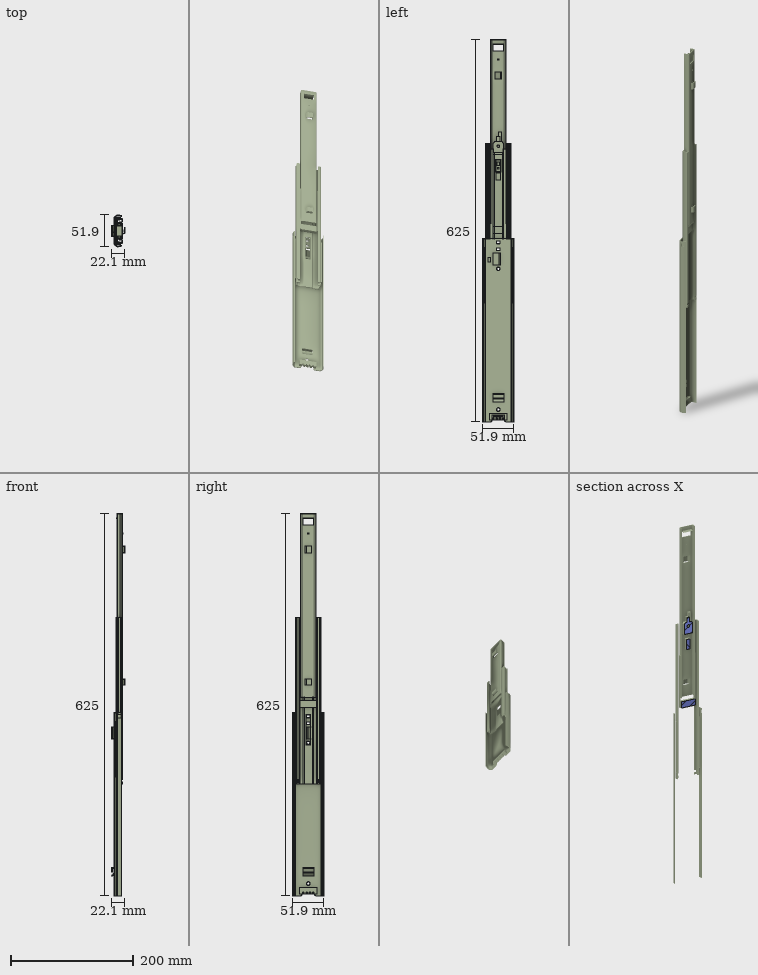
import cadquery as cq
import math


sheet = 1.2
rail_length = 300.0
total_height = 625.0
overall_depth = 22.14
hook_reach = 4.2
hook_slope_run = 2.4

outer_half = 51.89 / 2
outer_depth = 12.5
bevel_run = 4.2
bevel_rise = 3.6
flange_flare = 0.6
flange_bend_x = 5.6
bevel_shift_ratio = 0.4
curl_sag = 0.35
curl_tip = 1.3

middle_half = 20.5
middle_back = 3.5
middle_front = overall_depth - 2 * hook_reach
middle_bottom = 183.0
middle_top = 455.7

inner_half = 13.0
inner_back = 5.1
inner_front = middle_front
inner_bottom = total_height - rail_length


def box(x0, x1, y0, y1, z0, z1):
    """Block between two opposite corners."""
    return cq.Workplane("XY").box(x1 - x0, y1 - y0, z1 - z0, centered=False).translate((x0, y0, z0))


def centred_box(x0, x1, half_y, z0, z1):
    """Block symmetric about Y = 0."""
    return box(x0, x1, -half_y, half_y, z0, z1)


def cross_cylinder(diameter, z, x0, x1):
    """Cylinder along X at Y = 0."""
    return cq.Workplane("YZ").center(0, z).circle(diameter / 2).extrude(x1 - x0).translate((x0, 0, 0))


def mirrored_extrusion(half, z0, z1):
    """Extrude a closed half section and its mirror image about Y = 0 as one solid."""
    solid = half.close().extrude(z1 - z0).translate((0, 0, z0))
    return solid.union(solid.mirror("XZ"))


def hook(face_x, outward, root_y, free_y, z0, z1):
    """Pressed hook: a sloping leg rising from the web edge at root_y, then a plate parallel to the web.

    outward is +1 or -1 along X, the side of the web that the hook stands on.
    """
    along = 1 if free_y > root_y else -1
    knee_y = root_y + along * hook_slope_run
    inside_x = face_x - outward * sheet
    tip_x = face_x + outward * hook_reach
    plate_x = tip_x - outward * sheet
    profile = [
        (inside_x, root_y),
        (face_x, root_y),
        (tip_x, knee_y),
        (tip_x, free_y),
        (plate_x, free_y),
        (plate_x, knee_y),
    ]
    return cq.Workplane("XY").polyline(profile).close().extrude(z1 - z0).translate((0, 0, z0))


web_hole_slots = (293.7, 282.4)
web_round_holes = (250.5, 20.5)
round_hole_diameter = 5.4
slot_length = 5.2
slot_height = 3.8
bottom_notch_half = 10.3
bottom_notch_height = 11.5
notch_flare = 2.0
side_hook_y = (-3.2, 9.0)
side_hook_z = (257.0, 276.5)
tab_half = 9.0
upper_tab_z = (39.5, 46.5)
lower_tab_z = (33.0, 37.8)
recess_y = 15.0
recess_half_width = 2.0
recess_z = (261.5, 269.0)
recess_depth = 0.5
stop_slot_z = (291.5, 296.5)
stop_slot_depth = 0.6


def outer_skin(offset):
    """Solid bounded by the rail's outside faces moved inward by offset."""
    half = outer_half - offset
    tip = half - curl_tip
    bevel_shift = offset * bevel_shift_ratio
    return mirrored_extrusion(
        cq.Workplane("XY")
        .moveTo(offset, 0)
        .lineTo(offset, half - bevel_run + bevel_shift)
        .lineTo(bevel_rise + bevel_shift, half - flange_flare)
        .lineTo(flange_bend_x, half)
        .threePointArc(
            ((flange_bend_x + outer_depth) / 2, half - curl_sag),
            (outer_depth, tip),
        )
        .lineTo(outer_depth, 0),
        0, rail_length,
    )


def make_outer_rail():
    rail = outer_skin(0).cut(outer_skin(sheet))
    for z in web_hole_slots:
        rail = rail.cut(centred_box(0, sheet, slot_length / 2, z - slot_height / 2, z + slot_height / 2))
    for z in web_round_holes:
        rail = rail.cut(cross_cylinder(round_hole_diameter, z, 0, sheet))

    notch = (
        cq.Workplane("YZ")
        .polyline([
            (-bottom_notch_half - notch_flare, 0),
            (-bottom_notch_half, notch_flare),
            (-bottom_notch_half, bottom_notch_height),
            (bottom_notch_half, bottom_notch_height),
            (bottom_notch_half, notch_flare),
            (bottom_notch_half + notch_flare, 0),
        ])
        .close()
        .extrude(sheet)
    )
    rail = rail.cut(notch)

    rail = rail.cut(box(0, sheet, *side_hook_y, *side_hook_z))
    rail = rail.union(hook(0, -1, *side_hook_y, *side_hook_z))

    free_z, root_z = upper_tab_z
    rail = rail.cut(centred_box(0, sheet, tab_half, free_z, root_z - sheet))
    rail = rail.union(centred_box(-hook_reach, 0, tab_half, root_z - sheet, root_z))
    rail = rail.union(centred_box(-hook_reach, sheet - hook_reach, tab_half, free_z, root_z))

    tip_z, root_z = lower_tab_z
    rail = rail.cut(centred_box(0, sheet, tab_half, tip_z, root_z))
    slope = (
        cq.Workplane("XZ")
        .polyline([(0, root_z), (sheet, root_z), (sheet - hook_reach, tip_z), (-hook_reach, tip_z)])
        .close()
        .extrude(tab_half, both=True)
    )
    rail = rail.union(slope)

    rail = rail.cut(box(0, recess_depth, recess_y - recess_half_width, recess_y + recess_half_width, *recess_z))
    for side in (-1, 1):
        edge = side * outer_half
        root = side * (outer_half - stop_slot_depth)
        rail = rail.cut(box(flange_bend_x, outer_depth, min(edge, root), max(edge, root), *stop_slot_z))
    return rail


channel_half = 6.6
land_inner = 8.4
land_outer = 13.6
step_run = 1.8
channel_depth = 1.2
track_depth = 0.8
middle_bevel_run = 2.8
middle_bevel_rise = 1.3
groove_start = 7.0
groove_end = 10.4
groove_depth = 1.1
lip_bevel = 1.0
lip_half = 15.0
top_notch_half = 13.2
top_notch_depth = 9.4
latch_notch_half = 8.0
latch_notch_depth = 14.7
window_half = 4.2
window_z = (408.6, 429.0)
dent_half = 3.8
dent_z = (395.5, 407.0)
dent_depth = 0.5
access_z = (247.0, 297.0)
access_half = 4.0
lip_notch_z = (186.5, 190.5)


def middle_skin(offset, front):
    """Solid behind the front plane, bounded by the outside faces moved inward by offset."""
    back = middle_back + offset
    half = middle_half - offset
    return mirrored_extrusion(
        cq.Workplane("XY")
        .moveTo(back + channel_depth, 0)
        .lineTo(back + channel_depth, channel_half)
        .lineTo(back, land_inner)
        .lineTo(back, land_outer)
        .lineTo(back + track_depth, land_outer + step_run)
        .lineTo(back + track_depth, half - middle_bevel_run)
        .lineTo(back + track_depth + middle_bevel_rise, half)
        .lineTo(groove_start, half)
        .threePointArc(((groove_start + groove_end) / 2, half - groove_depth), (groove_end, half))
        .lineTo(front - lip_bevel, half)
        .lineTo(front, half - lip_bevel)
        .lineTo(front, 0),
        middle_bottom, middle_top,
    )


def make_middle_rail():
    lip_x = middle_front - sheet
    rail = middle_skin(0, middle_front).cut(middle_skin(sheet, lip_x))
    rail = rail.cut(centred_box(lip_x, middle_front, lip_half, middle_bottom, middle_top))
    web_front = middle_back + channel_depth + sheet
    notch_steps = ((top_notch_half, top_notch_depth), (latch_notch_half, latch_notch_depth))
    for half, depth in notch_steps:
        rail = rail.cut(centred_box(middle_back, web_front, half, middle_top - depth, middle_top))
    rail = rail.cut(centred_box(middle_back, web_front, window_half, *window_z))
    rail = rail.cut(centred_box(middle_back, middle_back + channel_depth + dent_depth, dent_half, *dent_z))
    rail = rail.cut(centred_box(middle_back, web_front, access_half, *access_z))
    return rail.cut(centred_box(outer_depth, middle_front, middle_half, *lip_notch_z))


inner_groove_end = 9.8
inner_groove_depth = 0.5
corner_radius = 2.0
flange_edge = 0.7
flange_root = 1.5
end_window_half = 8.5
end_window_z = (606.8, 618.2)
end_tab_back = 3.6
inner_hook_half = 5.6
inner_hook_z = ((345.0, 354.5), (561.0, 572.0))
pip_z = 592.5
pip_diameter = 2.2
pip_height = 1.0


def round_corner(outline, front, half):
    """Add a quarter round from the flange side to the front face, then run to Y = 0."""
    arc_inset = corner_radius * (1 - math.sqrt(0.5))
    return (
        outline.lineTo(front - corner_radius, half)
        .threePointArc((front - arc_inset, half - arc_inset), (front, half - corner_radius))
        .lineTo(front, 0)
    )


def make_inner_channel():
    """Channel opening toward -X with a shallow ball groove outside each flange."""
    groove_middle = ((inner_back + inner_groove_end) / 2, inner_half - inner_groove_depth)
    outside = (
        cq.Workplane("XY")
        .moveTo(inner_back, 0)
        .lineTo(inner_back, inner_half)
        .threePointArc(groove_middle, (inner_groove_end, inner_half))
    )
    inside = cq.Workplane("XY").moveTo(inner_back, 0).lineTo(inner_back, inner_half - flange_edge)
    web_back = inner_front - sheet
    outside = round_corner(outside, inner_front, inner_half)
    inside = round_corner(inside, web_back, inner_half - flange_root)
    channel = mirrored_extrusion(outside, inner_bottom, total_height)
    return channel.cut(mirrored_extrusion(inside, inner_bottom, total_height))


def make_inner_rail():
    web_back = inner_front - sheet
    rail = make_inner_channel()

    z0, z1 = end_window_z
    rail = rail.cut(centred_box(web_back, inner_front, end_window_half, z0, z1))
    rail = rail.union(centred_box(end_tab_back, inner_front, end_window_half, z1 - sheet, z1))

    for hook_z0, hook_z1 in inner_hook_z:
        rail = rail.cut(centred_box(web_back, inner_front, inner_hook_half, hook_z0, hook_z1))
        rail = rail.union(hook(inner_front, 1, -inner_hook_half, inner_hook_half, hook_z0, hook_z1))

    rail = rail.union(cross_cylinder(pip_diameter, pip_z, inner_front, inner_front + pip_height))
    return rail.cut(cross_cylinder(pip_diameter / 2, pip_z, web_back, inner_front))


outer_cage_leg = (21.0, 22.3)
outer_cage_z = (195.0, 285.0)
outer_cage_web_top = 240.0
outer_cage_x = (1.8, 2.9, 10.5)
inner_cage_leg = (13.4, 14.6)
inner_cage_z = (308.0, 400.0)
inner_cage_web_top = 320.0
inner_cage_x = (6.2, 11.2, 12.3)
cage_overlap = 0.2
outer_cage_leg_back = 2.5
inner_cage_leg_back = 8.8


def make_cage(leg, z_span, web_top, x_faces, leg_back):
    """Two long legs joined by a cross web at the lower end."""
    web_back, web_front, leg_front = x_faces
    leg_inside, leg_outside = leg
    cage = centred_box(web_back, web_front, leg_inside + cage_overlap, z_span[0], web_top)
    for side in (-1, 1):
        y0, y1 = sorted((side * leg_inside, side * leg_outside))
        cage = cage.union(box(leg_back, leg_front, y0, y1, *z_span))
    return cage


bumper_half = 14.0
bumper_z = (3.5, 14.0)
bumper_front = 6.0
bumper_groove_pitch = 5.6
bumper_groove_width = 1.8
bumper_groove_height = 2.5
bumper_groove_count = 4
bumper_recess_half = 7.5
bumper_recess_z = (8.3, 10.3)
bumper_recess_depth = 1.2


def make_bumper():
    z0, z1 = bumper_z
    bumper = centred_box(sheet, bumper_front, bumper_half, z0, z1)
    for index in range(bumper_groove_count):
        y = (index - (bumper_groove_count - 1) / 2) * bumper_groove_pitch
        groove = centred_box(sheet, bumper_front, bumper_groove_width / 2, z0, z0 + bumper_groove_height)
        bumper = bumper.cut(groove.translate((0, y, 0)))
    recess_front = sheet + bumper_recess_depth
    return bumper.cut(centred_box(sheet, recess_front, bumper_recess_half, *bumper_recess_z))


seat_x = middle_back + channel_depth + sheet
latch_front = 11.2
latch_half = 8.4
latch_z = (437.0, 458.2)
latch_chamfer = 2.5
latch_hole_diameter = 4.0
latch_hole_z = 451.0
latch_neck = (-2.8, 2.8, 467.0, 0.5)
latch_finger = (-5.6, -0.4, 474.0, 1.2)
stop_half = 3.8
stop_z = (409.5, 428.0)
stop_hole_z = 415.0
stop_hole_diameter = 3.0
stop_recess_z = (419.5, 425.0)
stop_recess_half = 2.0
stop_recess_depth = 1.0


def make_latch():
    latch = centred_box(seat_x, latch_front, latch_half, *latch_z).edges("|X and >Z").chamfer(latch_chamfer)
    for y0, y1, top, setback in (latch_neck, latch_finger):
        latch = latch.union(box(seat_x + setback, latch_front, y0, y1, latch_z[1] - latch_chamfer, top))
    return latch.cut(cross_cylinder(latch_hole_diameter, latch_hole_z, seat_x, seat_x + sheet))


def make_stop():
    stop = centred_box(seat_x, latch_front, stop_half, *stop_z)
    stop = stop.cut(cross_cylinder(stop_hole_diameter, stop_hole_z, seat_x, seat_x + stop_recess_depth))
    return stop.cut(centred_box(seat_x, seat_x + stop_recess_depth, stop_recess_half, *stop_recess_z))


outer_rail = make_outer_rail()
middle_rail = make_middle_rail()
inner_rail = make_inner_rail()
outer_cage = make_cage(outer_cage_leg, outer_cage_z, outer_cage_web_top, outer_cage_x, outer_cage_leg_back)
inner_cage = make_cage(inner_cage_leg, inner_cage_z, inner_cage_web_top, inner_cage_x, inner_cage_leg_back)
bumper = make_bumper()
latch = make_latch()
stop = make_stop()

bodies = [outer_rail, middle_rail, inner_rail, outer_cage, inner_cage, bumper, latch, stop]
result = cq.Compound.makeCompound([body.val() for body in bodies])